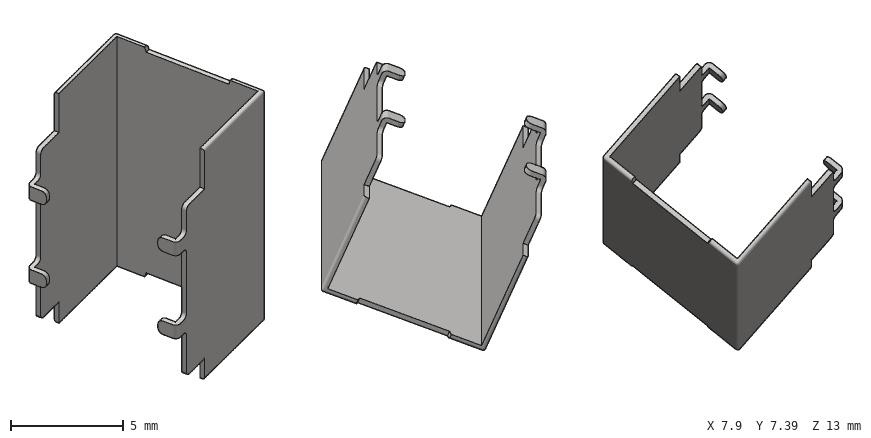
import cadquery as cq

width = 7.9
depth = 7.39
height = 13.0
sheet = 0.25

edge_radius = 0.13

wall_depth = 5.1
plate_depth = 6.63
plate_top_drop = 2.2
plate_height = 9.6
corner_radius = 0.24

tab_width = 0.77
tab_length = 1.03
tab_pitch = 4.7
bend_radius = sheet
tab_tip_radius = 0.3

notch_bottom_width = 4.32
notch_mouth_width = 4.5
notch_depth = 0.25

back_y = depth / 2
front_y = -depth / 2
top_z = height / 2
plate_front_y = back_y - plate_depth

tab_centers_z = (tab_pitch / 2, -tab_pitch / 2)


def make_shell():
    """Back panel and the two walls, with rounded outer edges."""
    outside = (
        cq.Workplane("XY")
        .box(width, wall_depth, height)
        .translate((0, back_y - wall_depth / 2, 0))
        .faces(">Y or <X or >X")
        .edges("not <Y")
        .fillet(edge_radius)
    )
    inside = (
        cq.Workplane("XY")
        .box(width - 2 * sheet, wall_depth, height)
        .translate((0, back_y - sheet - wall_depth / 2, 0))
    )
    return outside.cut(inside)


def cut_end_notch(body, end):
    """Flared notch in the back panel; end is 1 at the top, -1 at the bottom."""
    mouth_z = end * top_z
    bottom_z = end * (top_z - notch_depth)
    notch = (
        cq.Workplane("XZ", origin=(0, back_y, 0))
        .moveTo(-notch_mouth_width / 2, mouth_z)
        .lineTo(-notch_bottom_width / 2, bottom_z)
        .lineTo(notch_bottom_width / 2, bottom_z)
        .lineTo(notch_mouth_width / 2, mouth_z)
        .close()
        .extrude(sheet)
    )
    return body.cut(notch)


def make_plate():
    """Extension of the left wall (-X side) with tab necks and rounded corners."""
    rear_y = back_y - wall_depth
    plate_top_z = top_z - plate_top_drop
    plate = (
        cq.Workplane("YZ", origin=(-width / 2, 0, 0))
        .moveTo(rear_y, plate_top_z)
        .lineTo(plate_front_y, plate_top_z)
    )
    for center_z in tab_centers_z:
        neck_top_z = center_z + tab_width / 2
        neck_bottom_z = neck_top_z - tab_width
        plate = (
            plate.lineTo(plate_front_y, neck_top_z)
            .lineTo(front_y, neck_top_z)
            .lineTo(front_y, neck_bottom_z)
            .lineTo(plate_front_y, neck_bottom_z)
        )
    plate_bottom_z = plate_top_z - plate_height
    plate = (
        plate.lineTo(plate_front_y, plate_bottom_z)
        .lineTo(rear_y, plate_bottom_z)
        .close()
        .extrude(sheet)
    )
    front_corners = cq.selectors.BoxSelector(
        (-width, plate_front_y - sheet, -height),
        (width, plate_front_y + sheet, height),
    )
    return plate.edges("|X").edges(front_corners).fillet(corner_radius)


def make_tab(center_z):
    """Left tab folded inward, with a rounded tip."""
    return (
        cq.Workplane("XY")
        .box(tab_length, sheet, tab_width, centered=False)
        .translate((-width / 2, front_y, center_z - tab_width / 2))
        .edges("|Y and >X")
        .fillet(tab_tip_radius)
    )


def make_side():
    """Left plate with its tabs and rounded outer bends."""
    side = make_plate()
    for center_z in tab_centers_z:
        side = side.union(make_tab(center_z))
    return side.edges("|Z and <X and <Y").fillet(bend_radius)


shell = make_shell()
for end in (1, -1):
    shell = cut_end_notch(shell, end)

left_side = make_side()
right_side = left_side.mirror("YZ")
result = shell.union(left_side).union(right_side)